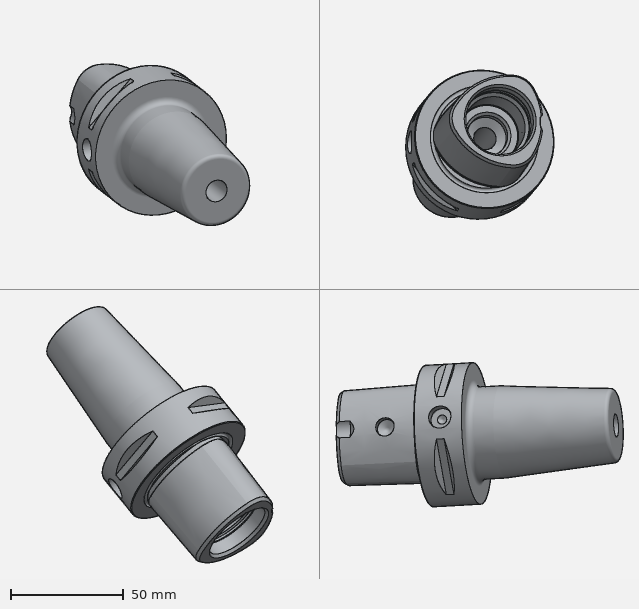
import cadquery as cq
import math


total_length = 123.0
shank_chamfer_length = 1.6
lobe_end = 35.8
flange_start = 38.0
flange_width = 21.8
flange_end = flange_start + flange_width
nose_cone_start = 72.0

lobe_centre_radius = 11.3
lobe_radius_large = 12.2
shank_taper = 1 / 40
lobe_radius_small = lobe_radius_large - shank_taper * (lobe_end - shank_chamfer_length)
shank_chamfer_depth = 1.0
lobe_count = 3
neck_step = 0.2
neck_turned_radius = 22.6

flange_radius = 31.5
flange_chamfer = 0.4
face_groove_inner_radius = 22.3
face_groove_outer_radius = 24.4

nose_radius = 20.5
nose_tip_radius = 16.5
nose_root_fillet = 3.0
nose_tip_fillet = 1.8

through_radius = 5.0
mouth_radius = 16.2
mouth_chamfer_length = 1.5
entry_radius = 15.3
clamp_groove_depth = 0.7
clamp_groove_start = 7.6
clamp_groove_end = 10.2
entry_end = 12.0
bore_radius = 13.8
bore_cone_end = entry_end + entry_radius - bore_radius
bore_floor_chamfer = 0.4
bore_floor = 29.5
pilot_mouth_radius = 10.3
pilot_radius = 9.1
pilot_chamfer_end = bore_floor + pilot_mouth_radius - pilot_radius
pilot_end = 34.5
drill_tip_slope = math.tan(math.radians(31))
pilot_cone_end = pilot_end + (pilot_radius - through_radius) * drill_tip_slope

key_groove_radius = 5.2
key_groove_axis_y = -23.0
key_groove_length = 6.4

shank_hole_x = 22.5
shank_hole_radius = 4.2
shank_hole_floor_y = -16.6

rim_hole_x = 49.9
rim_hole_radius = 5.0
rim_hole_depth = 4.9
rim_pilot_radius = 2.1

slot_x = 49.8
slot_floor_height = 28.0
slot_floor_width = 3.5
slot_mouth_width = 7.9
slot_count = 4


def on_circle(centre, radius, degrees):
    angle = math.radians(degrees)
    return (centre[0] + radius * math.cos(angle), centre[1] + radius * math.sin(angle))


def lobed_outline(x, lobe_radius):
    """Closed outline of the shank in the plane at x, with one lobe toward +Y."""
    step = 360 / lobe_count
    flat_radius = lobe_radius + lobe_centre_radius * math.sqrt(3)
    outline = cq.Workplane("YZ", origin=(x, 0, 0))
    outline = outline.moveTo(*on_circle((lobe_centre_radius, 0), lobe_radius, -step / 4))
    for lobe in range(lobe_count):
        direction = lobe * step
        lobe_centre = on_circle((0, 0), lobe_centre_radius, direction)
        outline = outline.threePointArc(
            on_circle(lobe_centre, lobe_radius, direction),
            on_circle(lobe_centre, lobe_radius, direction + step / 4),
        )
        flat_direction = direction + step / 2
        flat_centre = on_circle((0, 0), lobe_centre_radius, flat_direction + 180)
        outline = outline.threePointArc(
            on_circle(flat_centre, flat_radius, flat_direction),
            on_circle(flat_centre, flat_radius, flat_direction + step / 4),
        )
    return outline.close().wires().val()


def lobed_frustum(x_start, start_radius, x_end, end_radius):
    wires = [lobed_outline(x_start, start_radius), lobed_outline(x_end, end_radius)]
    return cq.Workplane(cq.Solid.makeLoft(wires, True))


def turned(points):
    """Solid of revolution about X from (x, radius) points."""
    return cq.Workplane("XY").polyline(points).close().revolve(360, (0, 0, 0), (1, 0, 0))


def make_shank():
    tip = lobed_frustum(0, lobe_radius_small - shank_chamfer_depth, shank_chamfer_length, lobe_radius_small)
    taper = lobed_frustum(shank_chamfer_length, lobe_radius_small, lobe_end, lobe_radius_large)
    neck_lobe_radius = lobe_radius_large - neck_step
    neck = lobed_frustum(lobe_end, neck_lobe_radius, flange_start, neck_lobe_radius)
    neck_length = flange_start - lobe_end
    neck_limit = cq.Workplane("YZ", origin=(lobe_end, 0, 0)).circle(neck_turned_radius).extrude(neck_length)
    return tip.union(taper).union(neck.intersect(neck_limit))


def make_flange():
    groove_radius = (face_groove_outer_radius - face_groove_inner_radius) / 2
    groove_bottom = (flange_start + groove_radius, face_groove_inner_radius + groove_radius)
    profile = (
        cq.Workplane("XY")
        .moveTo(flange_start, 0)
        .lineTo(flange_start, face_groove_inner_radius)
        .threePointArc(groove_bottom, (flange_start, face_groove_outer_radius))
        .lineTo(flange_start, flange_radius - flange_chamfer)
        .lineTo(flange_start + flange_chamfer, flange_radius)
        .lineTo(flange_end, flange_radius)
        .lineTo(flange_end, 0)
        .close()
    )
    return profile.revolve(360, (0, 0, 0), (1, 0, 0))


def make_nose():
    return turned([
        (flange_end, 0),
        (flange_end, nose_radius),
        (nose_cone_start, nose_radius),
        (total_length, nose_tip_radius),
        (total_length, 0),
    ]).faces(">X").edges().fillet(nose_tip_fillet)


def make_nose_root():
    arc_centre = (flange_end + nose_root_fillet, nose_radius + nose_root_fillet)
    profile = (
        cq.Workplane("XY")
        .moveTo(flange_end, nose_radius + nose_root_fillet)
        .threePointArc(on_circle(arc_centre, nose_root_fillet, 225), (arc_centre[0], nose_radius))
        .lineTo(arc_centre[0], 0)
        .lineTo(flange_end, 0)
        .close()
    )
    return profile.revolve(360, (0, 0, 0), (1, 0, 0))


def make_bore():
    return turned([
        (0, 0),
        (0, mouth_radius),
        (mouth_chamfer_length, entry_radius),
        (clamp_groove_start, entry_radius),
        (clamp_groove_start + clamp_groove_depth, entry_radius + clamp_groove_depth),
        (clamp_groove_end - clamp_groove_depth, entry_radius + clamp_groove_depth),
        (clamp_groove_end, entry_radius),
        (entry_end, entry_radius),
        (bore_cone_end, bore_radius),
        (bore_floor - bore_floor_chamfer, bore_radius),
        (bore_floor, bore_radius - bore_floor_chamfer),
        (bore_floor, pilot_mouth_radius),
        (pilot_chamfer_end, pilot_radius),
        (pilot_end, pilot_radius),
        (pilot_cone_end, through_radius),
        (total_length, through_radius),
        (total_length, 0),
    ])


def make_key_groove():
    groove = turned([
        (0, 0),
        (0, key_groove_radius),
        (key_groove_length, key_groove_radius),
        (key_groove_length + key_groove_radius, 0),
    ])
    return groove.translate((0, key_groove_axis_y, 0))


def drilled_hole(x, radius, floor_y):
    """Hole entering from -Y, with a full-diameter depth down to floor_y and a drill-point tip."""
    profile = cq.Workplane("XY").polyline([
        (x, -flange_radius),
        (x + radius, -flange_radius),
        (x + radius, floor_y),
        (x, floor_y + radius * drill_tip_slope),
    ])
    return profile.close().revolve(360, (x, 0, 0), (x, 1, 0))


def make_rim_hole():
    floor_y = rim_hole_depth - flange_radius
    hole = cq.Workplane("XZ", origin=(rim_hole_x, floor_y, 0)).circle(rim_hole_radius).extrude(flange_radius)
    return hole.union(drilled_hole(rim_hole_x, rim_pilot_radius, floor_y))


def make_slot():
    """Trapezoid slot whose flat floor is a chord of the rim facing +Z."""
    half_floor = slot_floor_width / 2
    half_mouth = slot_mouth_width / 2
    profile = cq.Workplane("XZ").polyline([
        (slot_x - half_floor, slot_floor_height),
        (slot_x - half_mouth, flange_radius),
        (slot_x + half_mouth, flange_radius),
        (slot_x + half_floor, slot_floor_height),
    ])
    return profile.close().extrude(flange_radius, both=True)


result = make_shank().union(make_flange()).union(make_nose()).union(make_nose_root())
result = result.cut(make_bore()).cut(make_key_groove())
result = result.cut(drilled_hole(shank_hole_x, shank_hole_radius, shank_hole_floor_y))

rim_hole = make_rim_hole()
result = result.cut(rim_hole).cut(rim_hole.mirror("XZ"))

slot = make_slot()
for index in range(slot_count):
    slot_angle = 45 + index * 360 / slot_count
    result = result.cut(slot.rotate((0, 0, 0), (1, 0, 0), slot_angle))